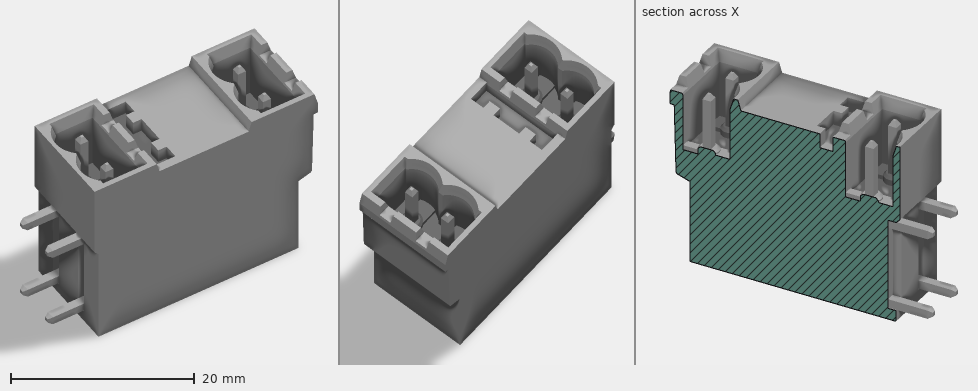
import cadquery as cq
import math


WIDTH = 12.16
HEIGHT = 22.3
FRONT_OVERHANG = 0.5
OVERHANG_BOTTOM_Z = 12.55
OVERHANG_BEVEL = 0.53
LOWER_BACK_Y = 25.77
LEDGE_Z = 10.15
DRAFT_BOTTOM_Y = 27.52
DRAFT_BOTTOM_Z = 10.7
DRAFT_CORNER_RADIUS = 0.4
DRAFT_TOP_Y = 27.75

RAIL_Y = 28.27
RAIL_BOTTOM_Z = 19.3
RAIL_BEVEL_Z = 20.77
RAIL_BEVEL = 0.43

POLE_PITCH = 5.08
POLE_XS = (-POLE_PITCH / 2, POLE_PITCH / 2)
SOCKET_PITCH = 20.32
BACK_PIN_Y = 23.65
FRONT_PIN_Y = BACK_PIN_Y - SOCKET_PITCH

DECK_Z = 21.05
DECK_BACK_Y = 19.36
DECK_BACK_TOP_Y = 19.75
FRONT_RAIL_Y = RAIL_Y - SOCKET_PITCH
FRONT_RAIL_TOP_Y = FRONT_RAIL_Y - RAIL_BEVEL
DECK_FRONT_Y = FRONT_RAIL_Y - RAIL_BEVEL * (DECK_Z - RAIL_BEVEL_Z) / (HEIGHT - RAIL_BEVEL_Z)

MOUTH_HALF_WIDTH = 5.46
MOUTH_BACK = 3.39
MOUTH_FRONT = 2.33
MOUTH_ARC_RADIUS = 3.38
MOUTH_INSET = 0.44
MOUTH_DEPTH = 1.45
CAVITY_FLOOR_Z = 14.0

NOTCH_FLOOR_Z = 21.12
NOTCH_BOTTOM_WIDTH = 1.48
NOTCH_TOP_WIDTH = 1.86

POCKET_WIDTH = 2 * (MOUTH_HALF_WIDTH - MOUTH_INSET)
POCKET_BACK_Y = 10.57
POCKET_TAB_WIDTH = 1.45
POCKET_TAB_LENGTH = 1.08

BOSS_DIAMETER = 2.5
BOSS_HEIGHT = 1.0
BOSS_BEVEL = 0.3
RIB_HEIGHT = 0.5
FRONT_RIB_WIDTH = 2.1

PIN_SIZE = 1.04
CONTACT_TOP_Z = 21.65
CONTACT_TIP_LENGTH = 0.6
CONTACT_TIP_SIZE = 0.35
SOLDER_TIP_LENGTH = 0.5
SOLDER_TIP_SIZE = 0.5
SOLDER_END_Y = -4.45
LOWER_SOLDER_Z = 2.0
SOLDER_PITCH = 10.1
UPPER_SOLDER_Z = LOWER_SOLDER_Z + SOLDER_PITCH

SLOT_WIDTH = 1.3
SLOT_DEPTH = 1.0
SLOT_BOTTOM_Z = 1.42


def box(x_size, y_min, y_max, z_min, z_max, x_center=0.0):
    """Axis-aligned block centred on x_center."""
    return (
        cq.Workplane("XY")
        .box(x_size, y_max - y_min, z_max - z_min, centered=(True, False, False))
        .translate((x_center, y_min, z_min))
    )


def housing():
    """Side outline of the body, extruded over the full width."""
    outline = [
        (0, 0),
        (LOWER_BACK_Y, 0),
        (LOWER_BACK_Y, LEDGE_Z),
        (DRAFT_BOTTOM_Y, DRAFT_BOTTOM_Z),
        (DRAFT_TOP_Y, RAIL_BOTTOM_Z),
        (RAIL_Y, RAIL_BOTTOM_Z),
        (RAIL_Y, RAIL_BEVEL_Z),
        (RAIL_Y - RAIL_BEVEL, HEIGHT),
        (DECK_BACK_TOP_Y, HEIGHT),
        (DECK_BACK_Y, DECK_Z),
        (DECK_FRONT_Y, DECK_Z),
        (FRONT_RAIL_TOP_Y, HEIGHT),
        (-FRONT_OVERHANG, HEIGHT),
        (-FRONT_OVERHANG, OVERHANG_BOTTOM_Z + OVERHANG_BEVEL),
        (0, OVERHANG_BOTTOM_Z),
    ]
    body = cq.Workplane("YZ").polyline(outline).close().extrude(WIDTH / 2, both=True)
    draft_corner = cq.selectors.BoxSelector(
        (-WIDTH, DRAFT_BOTTOM_Y - DRAFT_CORNER_RADIUS, DRAFT_BOTTOM_Z - DRAFT_CORNER_RADIUS),
        (WIDTH, DRAFT_BOTTOM_Y + DRAFT_CORNER_RADIUS, DRAFT_BOTTOM_Z + DRAFT_CORNER_RADIUS),
    )
    return body.edges(draft_corner).fillet(DRAFT_CORNER_RADIUS)


def cavity_outline(workplane, pin_y, inset):
    """Rectangle whose front side bulges into one arc around each pin."""
    half_width = MOUTH_HALF_WIDTH - inset
    back_y = pin_y + MOUTH_BACK - inset
    front_y = pin_y - MOUTH_FRONT + inset
    radius = MOUTH_ARC_RADIUS - inset
    half_chord = math.sqrt(radius**2 - (pin_y - front_y) ** 2)
    sketch = workplane.moveTo(-half_width, back_y).lineTo(-half_width, front_y)
    for x in POLE_XS:
        sketch = sketch.lineTo(x - half_chord, front_y)
        sketch = sketch.threePointArc((x, pin_y - radius), (x + half_chord, front_y))
    return sketch.lineTo(half_width, front_y).lineTo(half_width, back_y).close()


def cavity(pin_y):
    """Straight-walled cavity with a tapered lead-in at its mouth."""
    floor = cq.Workplane("XY").workplane(offset=CAVITY_FLOOR_Z)
    shaft = cavity_outline(floor, pin_y, MOUTH_INSET).extrude(HEIGHT - CAVITY_FLOOR_Z)
    lead_in_start = cq.Workplane("XY").workplane(offset=HEIGHT - MOUTH_DEPTH)
    lead_in = cavity_outline(lead_in_start, pin_y, MOUTH_INSET).workplane(offset=MOUTH_DEPTH)
    return shaft.union(cavity_outline(lead_in, pin_y, 0).loft(ruled=True))


def coding_notch(x, pin_y):
    """Notch with sloping sides, cut through the back wall of a socket."""
    inner_y = pin_y + MOUTH_BACK - MOUTH_INSET
    outer_y = pin_y + RAIL_Y - BACK_PIN_Y
    profile = [
        (x - NOTCH_BOTTOM_WIDTH / 2, NOTCH_FLOOR_Z),
        (x + NOTCH_BOTTOM_WIDTH / 2, NOTCH_FLOOR_Z),
        (x + NOTCH_TOP_WIDTH / 2, HEIGHT),
        (x - NOTCH_TOP_WIDTH / 2, HEIGHT),
    ]
    plane = cq.Workplane("XZ", origin=(0, outer_y, 0))
    return plane.polyline(profile).close().extrude(outer_y - inner_y)


def latch_pocket():
    """Pocket in the deck, with one tab facing each coding notch left standing."""
    recess = (
        cq.Workplane("YZ")
        .polyline([
            (FRONT_RAIL_Y, RAIL_BOTTOM_Z),
            (POCKET_BACK_Y, RAIL_BOTTOM_Z),
            (POCKET_BACK_Y, HEIGHT),
            (FRONT_RAIL_TOP_Y, HEIGHT),
            (FRONT_RAIL_Y, RAIL_BEVEL_Z),
        ])
        .close()
        .extrude(POCKET_WIDTH / 2, both=True)
    )
    for x in POLE_XS:
        tab_y = POCKET_BACK_Y - POCKET_TAB_LENGTH
        recess = recess.cut(
            box(POCKET_TAB_WIDTH, tab_y, POCKET_BACK_Y, RAIL_BOTTOM_Z, HEIGHT, x)
        )
    return recess


def floor_details(x, pin_y):
    """Bevelled boss around a pin, with ribs joining it to the front and back walls."""
    rib_top_z = CAVITY_FLOOR_Z + RIB_HEIGHT
    boss = (
        cq.Workplane("XY", origin=(x, pin_y, CAVITY_FLOOR_Z))
        .circle(BOSS_DIAMETER / 2)
        .extrude(BOSS_HEIGHT)
        .faces(">Z")
        .chamfer(BOSS_BEVEL)
    )
    back_rib = box(PIN_SIZE, pin_y, pin_y + MOUTH_BACK, CAVITY_FLOOR_Z, rib_top_z, x)
    front_rib = box(FRONT_RIB_WIDTH, pin_y - MOUTH_ARC_RADIUS, pin_y, CAVITY_FLOOR_Z, rib_top_z, x)
    return boss.union(back_rib).union(front_rib)


def pointed_bar(plane, length, tip_length, tip_size):
    """Square bar along the plane normal, ending in a truncated pyramid."""
    bar = plane.rect(PIN_SIZE, PIN_SIZE).extrude(length - tip_length)
    tip = (
        plane.workplane(offset=length - tip_length)
        .rect(PIN_SIZE, PIN_SIZE)
        .workplane(offset=tip_length)
        .rect(tip_size, tip_size)
        .loft(ruled=True)
    )
    return bar.union(tip)


def angled_pin(x, pin_y, solder_z):
    """Contact pin rising in the socket, bent to a solder pin leaving the front face."""
    contact = pointed_bar(
        cq.Workplane("XY", origin=(x, pin_y, solder_z)),
        CONTACT_TOP_Z - solder_z,
        CONTACT_TIP_LENGTH,
        CONTACT_TIP_SIZE,
    )
    solder = pointed_bar(
        cq.Workplane("XZ", origin=(x, pin_y, solder_z)),
        pin_y - SOLDER_END_Y,
        SOLDER_TIP_LENGTH,
        SOLDER_TIP_SIZE,
    )
    return contact.union(solder)


body = housing().cut(latch_pocket())
for x in POLE_XS:
    body = body.cut(box(SLOT_WIDTH, 0, SLOT_DEPTH, SLOT_BOTTOM_Z, OVERHANG_BOTTOM_Z, x))

for pin_y, solder_z in ((BACK_PIN_Y, LOWER_SOLDER_Z), (FRONT_PIN_Y, UPPER_SOLDER_Z)):
    body = body.cut(cavity(pin_y))
    for x in POLE_XS:
        body = body.cut(coding_notch(x, pin_y))
        body = body.union(floor_details(x, pin_y))
        body = body.union(angled_pin(x, pin_y, solder_z))

result = body